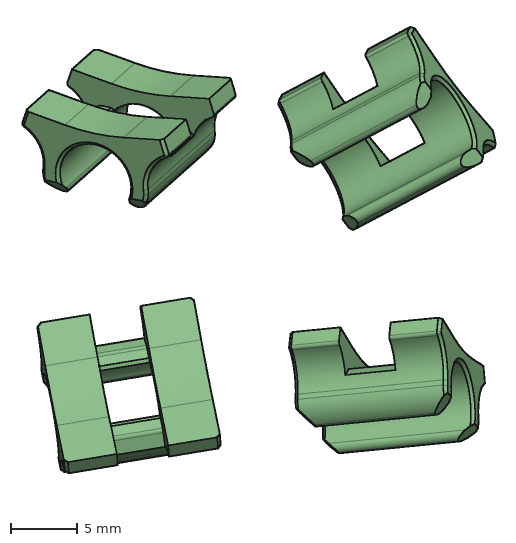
import cadquery as cq
import math


length = 11.99
top_z = 4.73
chamfer = 0.26

bore_radius = 2.99
tip_radius = 0.5
leg_bottom_z = -2.04
leg_half_width = 4.44
leg_radius = 2.0
leg_curve_z = -0.2

wing_top_x = 5.78
wing_corner_z = 3.32
wing_fillet = 0.27
neck_half_width = 4.4
neck_radius = 3.0
neck_center_z = 0.56
neck_bottom_z = 0.22
saddle_half_width = 2.47
saddle_z = 4.05
saddle_angle = math.radians(8.6)

opening_length = 3.95
rail_top_z = 2.21
rail_outer_z = 1.33
rail_slope_angle = math.radians(40.5)
rail_fillet = 0.5
rail_bevel_x = 2.48
rail_bevel_angle = math.radians(30)

bevel_start_z = -0.75

margin = 1.24


def neck_x(z):
    """Half width of the concave neck below the wings at height z."""
    rise = z - neck_center_z
    return neck_half_width + neck_radius - math.sqrt(neck_radius**2 - rise**2)


wing_corner_x = neck_x(wing_corner_z)


def polar(center, radius, angle):
    return (center[0] + radius * math.cos(angle), center[1] + radius * math.sin(angle))


def mirrored(point):
    return (-point[0], point[1])


def make_body():
    tip_z = leg_bottom_z + tip_radius
    tip = (math.sqrt((bore_radius + tip_radius) ** 2 - tip_z**2), tip_z)
    leg_center = (leg_half_width - leg_radius, leg_curve_z)
    leg_end_angle = math.atan2(tip[1] - leg_center[1], tip[0] - leg_center[0])
    leg_middle = polar(leg_center, leg_radius, leg_end_angle / 2)
    leg_end = polar(tip, tip_radius, leg_end_angle)
    tip_bottom = (tip[0], leg_bottom_z)
    bore_end = polar((0, 0), bore_radius, math.atan2(tip[1], tip[0]))

    saddle_radius = saddle_half_width / math.sin(saddle_angle)
    saddle_end_z = saddle_z + saddle_radius * (1 - math.cos(saddle_angle))
    saddle_end = (saddle_half_width, saddle_end_z)
    wing_top = (wing_top_x, top_z)
    wing_corner = (wing_corner_x, wing_corner_z)
    neck_middle_z = (wing_corner_z + neck_bottom_z) / 2
    neck_middle = (neck_x(neck_middle_z), neck_middle_z)
    neck_bottom = (neck_x(neck_bottom_z), neck_bottom_z)
    leg_top = (leg_half_width, leg_curve_z)

    outline = (
        cq.Workplane("XZ")
        .moveTo(*mirrored(saddle_end))
        .threePointArc((0, saddle_z), saddle_end)
        .lineTo(*wing_top)
        .lineTo(*wing_corner)
        .threePointArc(neck_middle, neck_bottom)
        .lineTo(*leg_top)
        .threePointArc(leg_middle, leg_end)
        .threePointArc(tip_bottom, bore_end)
        .threePointArc((0, bore_radius), mirrored(bore_end))
        .threePointArc(mirrored(tip_bottom), mirrored(leg_end))
        .threePointArc(mirrored(leg_middle), mirrored(leg_top))
        .lineTo(*mirrored(neck_bottom))
        .threePointArc(mirrored(neck_middle), mirrored(wing_corner))
        .lineTo(*mirrored(wing_top))
        .close()
    )
    body = outline.extrude(length / 2, both=True)
    for side in (-1, 1):
        corner = (side * wing_corner[0], 0, wing_corner[1])
        body = body.edges(cq.selectors.NearestToPointSelector(corner)).fillet(wing_fillet)
    return body


def chamfer_ends(body):
    """Chamfer the outline of both end faces, except along the saddle top."""
    saddle_box = cq.selectors.BoxSelector(
        (-wing_top_x - margin, -length, saddle_z - margin / 10),
        (wing_top_x + margin, length, top_z + margin),
        boundingbox=True,
    )
    end_edges = body.faces("<Y or >Y").edges()
    return end_edges.edges(cq.selectors.InverseSelector(saddle_box)).chamfer(chamfer)


def bevel_legs(body):
    """Cut the underside of both ends of the legs at 45 degrees."""
    depth = bevel_start_z - leg_bottom_z + margin
    for side in (-1, 1):
        end_y = side * length / 2
        wedge = (
            cq.Workplane("YZ")
            .moveTo(end_y + side * margin, bevel_start_z + margin)
            .lineTo(end_y + side * margin, bevel_start_z - depth)
            .lineTo(end_y - side * depth, bevel_start_z - depth)
            .close()
            .extrude(wing_corner_x, both=True)
        )
        body = body.cut(wedge)
    return body


def cut_opening(body):
    """Remove the middle of the saddle down to the rails."""
    rail_outer_x = neck_x(rail_outer_z)
    slope = math.tan(rail_slope_angle)
    shoulder = (rail_outer_x - (rail_top_z - rail_outer_z) / slope, rail_top_z)
    slope_foot = (rail_outer_x + margin, rail_outer_z - margin * slope)
    bevel_top = (rail_bevel_x, rail_top_z)
    bevel_foot = (rail_bevel_x - margin, rail_top_z - margin * math.tan(rail_bevel_angle))
    tool_side = wing_corner_x + margin
    right_points = [bevel_foot, bevel_top, shoulder, slope_foot]
    right_points += [(tool_side, slope_foot[1]), (tool_side, top_z + margin)]
    left_points = [mirrored(point) for point in reversed(right_points)]
    tool = cq.Workplane("XZ").polyline(right_points + left_points).close()
    tool = tool.extrude(opening_length / 2, both=True)
    for side in (-1, 1):
        corner = (side * shoulder[0], 0, shoulder[1])
        tool = tool.edges(cq.selectors.NearestToPointSelector(corner)).fillet(rail_fillet)
    return body.cut(tool)


result = cut_opening(bevel_legs(chamfer_ends(make_body())))